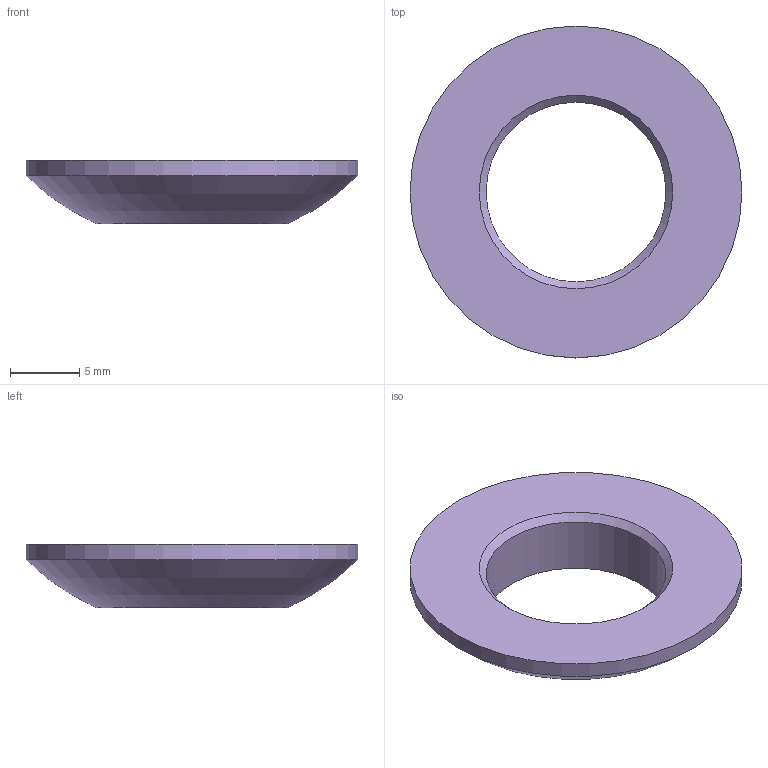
import cadquery as cq
import math

outer_radius = 12.0
bore_radius = 6.5
height = 4.6
seat_radius = 17.0
bottom_radius = 6.92
bore_chamfer = 0.5


def seat_drop(radius):
    """Depth of the spherical seat below its centre at a given distance from the axis."""
    return math.sqrt(seat_radius**2 - radius**2)


sphere_centre_z = seat_drop(bottom_radius)
rim_bottom_z = sphere_centre_z - seat_drop(outer_radius)
mid_radius = (bottom_radius + outer_radius) / 2
mid_z = sphere_centre_z - seat_drop(mid_radius)


def washer_body():
    """Half section in the XZ plane, revolved about the Z axis."""
    section = (
        cq.Workplane("XZ")
        .moveTo(bore_radius, 0)
        .lineTo(bottom_radius, 0)
        .threePointArc((mid_radius, mid_z), (outer_radius, rim_bottom_z))
        .lineTo(outer_radius, height)
        .lineTo(bore_radius + bore_chamfer, height)
        .lineTo(bore_radius, height - bore_chamfer)
        .close()
    )
    return section.revolve(360, (0, 0, 0), (0, 1, 0))


result = washer_body()